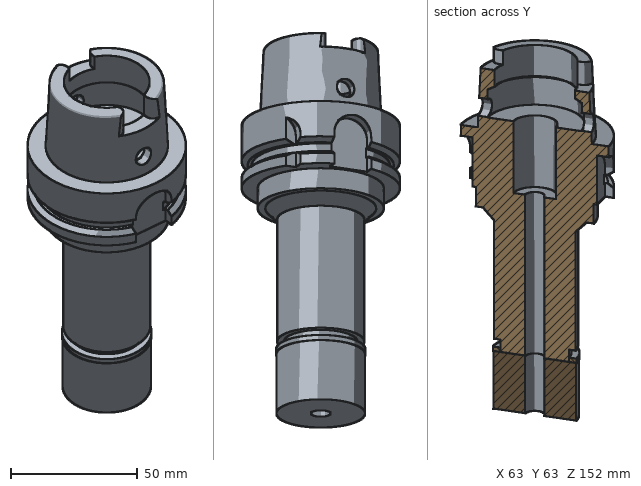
import cadquery as cq

TOTAL_LENGTH = 152.0

NUT_RADIUS = 17.6
NUT_TOP = 24.8
RING_RADIUS = 17.8
RING_TOP = 26.9
COOLANT_RADIUS = 4.0

NECK_RADIUS = 14.6
BODY_RADIUS = 17.3
BODY_BOTTOM = 30.1
BODY_TOP = 81.2
CONE_RADIUS = 22.0
COLLAR_RADIUS = 25.1
COLLAR_BOTTOM = BODY_TOP + CONE_RADIUS - BODY_RADIUS

FLANGE_RADIUS = 31.5
FLANGE_BOTTOM = 94.2
FLANGE_TOP = 120.2
GROOVE_RADIUS = 27.5
GROOVE_LEDGE_RADIUS = 29.0
GROOVE_MIDDLE = 102.0
GROOVE_FLOOR_WIDTH = 3.6
GROOVE_MOUTH_WIDTH = 7.0

SHANK_BASE_RADIUS = 24.3
TAPER_PER_LENGTH = 0.05
SHANK_TOP_RADIUS = SHANK_BASE_RADIUS - TAPER_PER_LENGTH * (TOTAL_LENGTH - FLANGE_TOP)
SHANK_EDGE_FILLET = 1.0

MOUTH_RADIUS = 17.0
LIP_BOTTOM = 138.6
CHAMBER_RADIUS = 19.9
CHAMBER_CONE_HEIGHT = 1.7
CHAMBER_FLOOR = 125.1
COUNTERBORE_RADIUS = 9.0
COUNTERBORE_FLOOR = FLANGE_BOTTOM

NOTCH_HALF_WIDTH = 6.2
NOTCH_CORNER_RADIUS = 3.3
NOTCH_FLAT_X = 20.8
LEFT_NOTCH_FLOOR = 145.9
RIGHT_NOTCH_FLOOR = 142.1

CROSS_HOLE_RADIUS = 3.8
CROSS_HOLE_Z = 129.0

SLOT_TOP = 115.4
LEFT_SLOT_RADIUS = 8.0
RIGHT_SLOT_RADIUS = 9.0
SLOT_FLOOR_X = 26.5
SIDE_SLOT_FLOOR_X = 19.9
SIDE_SLOT_Y = 28.1

CLEARANCE = 7.6


def revolve_profile(points):
    """Turn (radius, z) points into a solid of revolution about Z."""
    return cq.Workplane("XZ").polyline(points).close().revolve(360, (0, 0), (0, 1))


def ring_body(outer_radius, inner_radius, bottom, top):
    """Plain hollow cylinder between two heights."""
    return (
        cq.Workplane("XY")
        .workplane(offset=bottom)
        .circle(outer_radius)
        .circle(inner_radius)
        .extrude(top - bottom)
    )


def holder_blank():
    """Outside of the holder, with the rim of the shank rounded."""
    floor_half = GROOVE_FLOOR_WIDTH / 2
    mouth_half = GROOVE_MOUTH_WIDTH / 2
    blank = revolve_profile([
        (0, NUT_TOP),
        (NECK_RADIUS, NUT_TOP),
        (NECK_RADIUS, BODY_BOTTOM),
        (BODY_RADIUS, BODY_BOTTOM),
        (BODY_RADIUS, BODY_TOP),
        (CONE_RADIUS, COLLAR_BOTTOM),
        (COLLAR_RADIUS, COLLAR_BOTTOM),
        (COLLAR_RADIUS, FLANGE_BOTTOM),
        (FLANGE_RADIUS, FLANGE_BOTTOM),
        (FLANGE_RADIUS, GROOVE_MIDDLE - mouth_half),
        (GROOVE_LEDGE_RADIUS, GROOVE_MIDDLE - floor_half),
        (GROOVE_RADIUS, GROOVE_MIDDLE - floor_half),
        (GROOVE_RADIUS, GROOVE_MIDDLE + floor_half),
        (GROOVE_LEDGE_RADIUS, GROOVE_MIDDLE + floor_half),
        (FLANGE_RADIUS, GROOVE_MIDDLE + mouth_half),
        (FLANGE_RADIUS, FLANGE_TOP),
        (SHANK_BASE_RADIUS, FLANGE_TOP),
        (SHANK_TOP_RADIUS, TOTAL_LENGTH),
        (0, TOTAL_LENGTH),
    ])
    return blank.faces(">Z").edges().fillet(SHANK_EDGE_FILLET)


def cavity():
    """Shank mouth, wider chamber behind its lip, counterbore and coolant hole."""
    return revolve_profile([
        (0, NUT_TOP),
        (COOLANT_RADIUS, NUT_TOP),
        (COOLANT_RADIUS, COUNTERBORE_FLOOR),
        (COUNTERBORE_RADIUS, COUNTERBORE_FLOOR),
        (COUNTERBORE_RADIUS, CHAMBER_FLOOR),
        (CHAMBER_RADIUS, CHAMBER_FLOOR),
        (CHAMBER_RADIUS, LIP_BOTTOM - CHAMBER_CONE_HEIGHT),
        (MOUTH_RADIUS, LIP_BOTTOM),
        (MOUTH_RADIUS, TOTAL_LENGTH),
        (0, TOTAL_LENGTH),
    ])


def rim_notch(side, floor):
    """Notch cutter at side * X whose walls flare out through a rounded corner."""
    corner_start_x = NOTCH_FLAT_X - NOTCH_CORNER_RADIUS
    corner_end_y = NOTCH_HALF_WIDTH + NOTCH_CORNER_RADIUS
    reach = CLEARANCE + SHANK_BASE_RADIUS
    return (
        cq.Workplane("XY")
        .workplane(offset=floor)
        .moveTo(0, -NOTCH_HALF_WIDTH)
        .lineTo(side * corner_start_x, -NOTCH_HALF_WIDTH)
        .radiusArc((side * NOTCH_FLAT_X, -corner_end_y), side * NOTCH_CORNER_RADIUS)
        .lineTo(side * NOTCH_FLAT_X, -reach)
        .lineTo(side * reach, -reach)
        .lineTo(side * reach, reach)
        .lineTo(side * NOTCH_FLAT_X, reach)
        .lineTo(side * NOTCH_FLAT_X, corner_end_y)
        .radiusArc((side * corner_start_x, NOTCH_HALF_WIDTH), side * NOTCH_CORNER_RADIUS)
        .lineTo(0, NOTCH_HALF_WIDTH)
        .close()
        .extrude(TOTAL_LENGTH - floor)
    )


def cross_hole():
    """Pin along X through both walls of the shank."""
    return (
        cq.Workplane("YZ")
        .center(0, CROSS_HOLE_Z)
        .circle(CROSS_HOLE_RADIUS)
        .extrude(FLANGE_RADIUS, both=True)
    )


def flange_slot(side, floor_x, center_y, radius):
    """Round-topped slot cutter running outward along side * X from its floor."""
    arc_z = SLOT_TOP - radius
    return (
        cq.Workplane("YZ")
        .workplane(offset=side * floor_x)
        .moveTo(center_y - radius, FLANGE_BOTTOM)
        .lineTo(center_y - radius, arc_z)
        .threePointArc((center_y, SLOT_TOP), (center_y + radius, arc_z))
        .lineTo(center_y + radius, FLANGE_BOTTOM)
        .close()
        .extrude(side * (FLANGE_RADIUS + CLEARANCE - floor_x))
    )


def make_holder():
    """Tool holder with every cut made."""
    body = holder_blank().cut(cavity())
    body = body.cut(rim_notch(-1, LEFT_NOTCH_FLOOR))
    body = body.cut(rim_notch(1, RIGHT_NOTCH_FLOOR))
    body = body.cut(cross_hole())
    body = body.cut(flange_slot(-1, SLOT_FLOOR_X, 0, LEFT_SLOT_RADIUS))
    body = body.cut(flange_slot(1, SLOT_FLOOR_X, 0, RIGHT_SLOT_RADIUS))
    return body.cut(flange_slot(-1, SIDE_SLOT_FLOOR_X, SIDE_SLOT_Y, LEFT_SLOT_RADIUS))


holder = make_holder()

ring = ring_body(RING_RADIUS, NECK_RADIUS, NUT_TOP, RING_TOP)

nut = ring_body(NUT_RADIUS, COOLANT_RADIUS, 0, NUT_TOP)

result = cq.Compound.makeCompound([holder.val(), ring.val(), nut.val()])